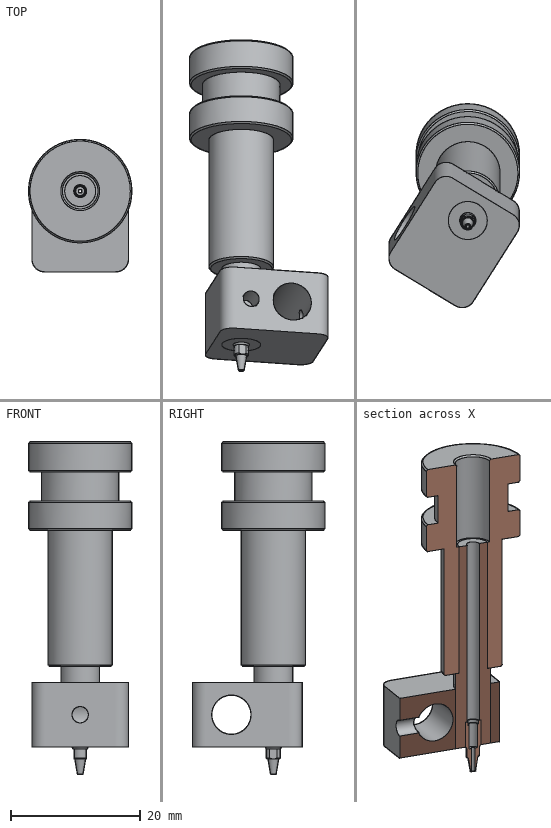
import cadquery as cq

TOTAL_HEIGHT = 51.5

BLOCK_WIDTH = 15.0
BLOCK_LENGTH = 17.0
BLOCK_HEIGHT = 10.0
BLOCK_BOTTOM = 4.3
BLOCK_BACK = 4.5
BLOCK_CORNER_RADIUS = 2.0
CROSS_HOLE_DIAMETER = 6.0
CROSS_HOLE_Y = -6.5
SCREW_HOLE_DIAMETER = 2.5
BLOCK_TOP = BLOCK_BOTTOM + BLOCK_HEIGHT
BLOCK_MIDDLE = BLOCK_BOTTOM + BLOCK_HEIGHT / 2
BLOCK_FRONT = BLOCK_BACK - BLOCK_LENGTH

FLANGE_RADIUS = 16.0 / 2
NECK_RADIUS = 12.0 / 2
BARREL_RADIUS = 10.0 / 2
COUNTERBORE_RADIUS = 5.5 / 2
UPPER_FLANGE_HEIGHT = 4.7
NECK_HEIGHT = 4.5
LOWER_FLANGE_HEIGHT = 4.55
SLEEVE_CHAMFER = 0.25
ROD_GAP = 2.45
SLEEVE_BOTTOM = BLOCK_TOP + ROD_GAP
NECK_TOP = TOTAL_HEIGHT - UPPER_FLANGE_HEIGHT
NECK_BOTTOM = NECK_TOP - NECK_HEIGHT
BARREL_TOP = NECK_BOTTOM - LOWER_FLANGE_HEIGHT

ROD_RADIUS = 6.0 / 2
ROD_UPPER_RADIUS = 4.8 / 2
ROD_TOP = BARREL_TOP
AIR_BORE_RADIUS = 2.0 / 2

SHANK_RADIUS = 2.5 / 2
SHANK_LENGTH = 4.1
COLLAR_HEIGHT = 0.3
BODY_RADIUS = 2.2 / 2
BODY_LENGTH = 1.55
BODY_FLAT_WIDTH = 1.9
CONE_TOP_RADIUS = 1.7 / 2
TIP_RADIUS = 0.9 / 2
TIP_CHAMFER = 0.1
BODY_CHAMFER = 0.15
INLET_STEP_RADIUS = 1.7 / 2
INLET_STEP_DEPTH = 0.5
INLET_RADIUS = 1.4 / 2
TIP_HOLE_RADIUS = 0.5 / 2
COLLAR_BOTTOM = BLOCK_BOTTOM - COLLAR_HEIGHT
BODY_BOTTOM = COLLAR_BOTTOM - BODY_LENGTH
SHANK_TOP = BLOCK_BOTTOM + SHANK_LENGTH


def cylinder(radius, bottom, top):
    """Upright cylinder on the common axis."""
    return cq.Workplane("XY").workplane(offset=bottom).circle(radius).extrude(top - bottom)


def cone(bottom_radius, top_radius, bottom, top):
    """Upright truncated cone on the common axis."""
    profile = [(0, bottom), (bottom_radius, bottom), (top_radius, top), (0, top)]
    return cq.Workplane("XZ").polyline(profile).close().revolve(360, (0, 0, 0), (0, 1, 0))


def make_sleeve():
    """Barrel below two chamfered flanges with a neck between them, counterbored down to the rod end."""
    upper_flange = cylinder(FLANGE_RADIUS, NECK_TOP, TOTAL_HEIGHT).edges().chamfer(SLEEVE_CHAMFER)
    neck = cylinder(NECK_RADIUS, NECK_BOTTOM, NECK_TOP)
    lower_flange = cylinder(FLANGE_RADIUS, BARREL_TOP, NECK_BOTTOM).edges().chamfer(SLEEVE_CHAMFER)
    barrel = cylinder(BARREL_RADIUS, SLEEVE_BOTTOM, BARREL_TOP).edges("<Z").chamfer(SLEEVE_CHAMFER)
    sleeve = upper_flange.union(neck).union(lower_flange).union(barrel)
    rod_bore = cylinder(ROD_UPPER_RADIUS, SLEEVE_BOTTOM, ROD_TOP)
    counterbore = cylinder(COUNTERBORE_RADIUS, ROD_TOP, TOTAL_HEIGHT)
    mouth = cone(
        COUNTERBORE_RADIUS, COUNTERBORE_RADIUS + SLEEVE_CHAMFER, TOTAL_HEIGHT - SLEEVE_CHAMFER, TOTAL_HEIGHT
    )
    return sleeve.cut(rod_bore).cut(counterbore).cut(mouth)


def make_rod():
    """Stepped tube from the block into the sleeve, with a seat for the nozzle shank."""
    upper = cylinder(ROD_UPPER_RADIUS, SLEEVE_BOTTOM, ROD_TOP)
    lower = cylinder(ROD_RADIUS, BLOCK_BOTTOM, SLEEVE_BOTTOM)
    air_bore = cylinder(AIR_BORE_RADIUS, BLOCK_BOTTOM, ROD_TOP)
    nozzle_seat = cylinder(SHANK_RADIUS, BLOCK_BOTTOM, SHANK_TOP)
    return upper.union(lower).cut(air_bore).cut(nozzle_seat)


def make_block():
    """Rounded block with the rod bore, a cross hole and two screw holes."""
    block = (
        cq.Workplane("XY", origin=(0, BLOCK_BACK - BLOCK_LENGTH / 2, BLOCK_BOTTOM))
        .rect(BLOCK_WIDTH, BLOCK_LENGTH)
        .extrude(BLOCK_HEIGHT)
        .edges("|Z")
        .fillet(BLOCK_CORNER_RADIUS)
    )
    rod_bore = cylinder(ROD_RADIUS, BLOCK_BOTTOM, BLOCK_TOP)
    cross_hole = (
        cq.Workplane("YZ", origin=(-BLOCK_WIDTH / 2, CROSS_HOLE_Y, BLOCK_MIDDLE))
        .circle(CROSS_HOLE_DIAMETER / 2)
        .extrude(BLOCK_WIDTH)
    )
    side_screw_hole = (
        cq.Workplane("YZ", origin=(-BLOCK_WIDTH / 2, 0, BLOCK_MIDDLE))
        .circle(SCREW_HOLE_DIAMETER / 2)
        .extrude(BLOCK_WIDTH / 2)
    )
    front_screw_hole = (
        cq.Workplane("XZ", origin=(0, CROSS_HOLE_Y, BLOCK_MIDDLE))
        .circle(SCREW_HOLE_DIAMETER / 2)
        .extrude(CROSS_HOLE_Y - BLOCK_FRONT)
    )
    return block.cut(rod_bore).cut(cross_hole).cut(side_screw_hole).cut(front_screw_hole)


def make_nozzle():
    """Shank, tapered collar, body with two flats and conical tip, bored through."""
    shank = cylinder(SHANK_RADIUS, BLOCK_BOTTOM, SHANK_TOP)
    collar = cone(BODY_RADIUS, SHANK_RADIUS, COLLAR_BOTTOM, BLOCK_BOTTOM)
    flats = (
        cq.Workplane("XY", origin=(0, 0, BODY_BOTTOM))
        .rect(BODY_FLAT_WIDTH, 2 * BODY_RADIUS)
        .extrude(BODY_LENGTH)
    )
    body = (
        cylinder(BODY_RADIUS, BODY_BOTTOM, COLLAR_BOTTOM)
        .edges("<Z")
        .chamfer(BODY_CHAMFER)
        .intersect(flats)
    )
    tip = cone(TIP_RADIUS, CONE_TOP_RADIUS, 0, BODY_BOTTOM).edges("<Z").chamfer(TIP_CHAMFER)
    inlet = cylinder(INLET_RADIUS, COLLAR_BOTTOM, SHANK_TOP)
    inlet_step = cylinder(INLET_STEP_RADIUS, SHANK_TOP - INLET_STEP_DEPTH, SHANK_TOP)
    tip_hole = cylinder(TIP_HOLE_RADIUS, 0, COLLAR_BOTTOM)
    return shank.union(collar).union(body).union(tip).cut(inlet).cut(inlet_step).cut(tip_hole)


sleeve = make_sleeve()
rod = make_rod()
block = make_block()
nozzle = make_nozzle()

result = cq.Compound.makeCompound([body.solids().val() for body in (sleeve, rod, block, nozzle)])